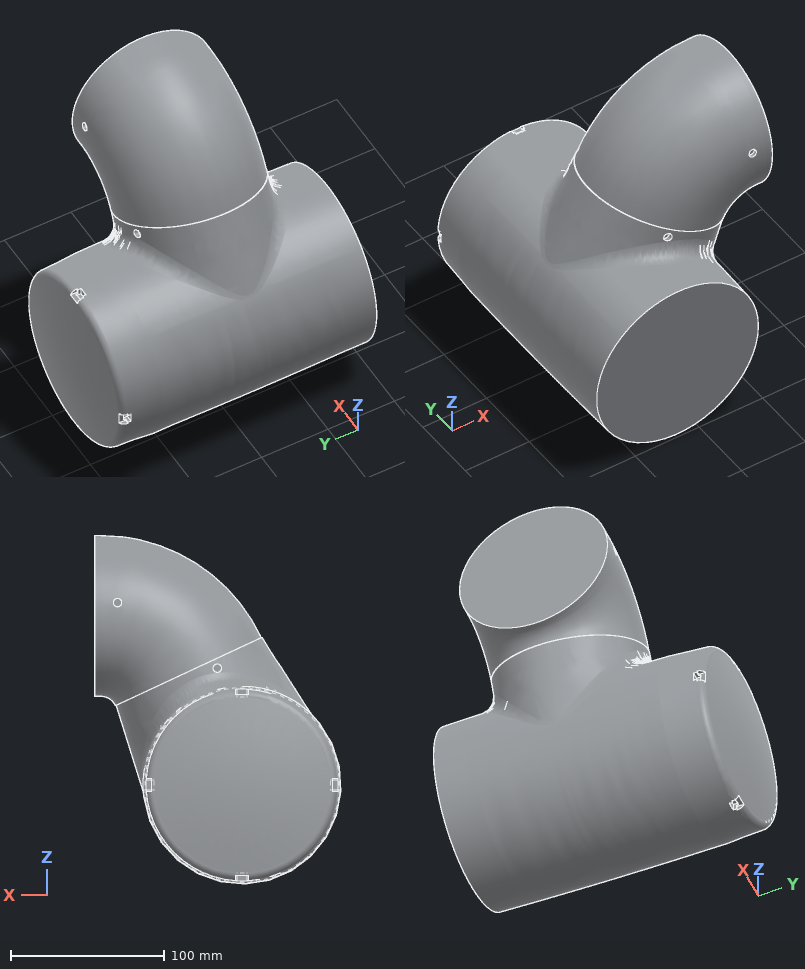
import cadquery as cq
import math

BODY_RADIUS = 64.6
FRONT_RADIUS = 63.5
JOINT_RADIUS = 64.2
CAP_RADIUS = 62.5
FRONT_LENGTH = 85.0
JOINT_Y = 75.5
RIM_Y = 106.7
DOME_Y = 112.0
RIM_ROUND = 5.2
SEAM_ANGLE = 120

NOTCH_COUNT = 4
NOTCH_WIDTH = 8.6
NOTCH_LENGTH = 5.2
NOTCH_DEPTH = 3.5
POCKET_WIDTH = 6.4
POCKET_START = 3.9
POCKET_LENGTH = 3.6
POCKET_DEPTH = 5.0

PIPE_RADIUS = 52.5
BEND_RADIUS = 63.0
BEND_ANGLE = 65
MOUTH_X = 96.3
MOUTH_Z = 227.5 - BODY_RADIUS - PIPE_RADIUS
COLLAR_LENGTH = 4.0

ROOT_HALF_WIDTH = 63.5
BLEND_RADIUS = 11.4

SCREW_DIAMETER = 5.5
SCREW_DEPTH = 2.3
SCREW_HOLES = [(81.2, 119.0, 51.9), (16.2, 76.2, 49.4)]

bend_rad = math.radians(BEND_ANGLE)
bend_x = MOUTH_X - COLLAR_LENGTH
bend_z = MOUTH_Z - BEND_RADIUS
elbow_start = (
    bend_x - BEND_RADIUS * math.sin(bend_rad),
    bend_z + BEND_RADIUS * math.cos(bend_rad),
)
elbow_direction = (math.cos(bend_rad), 0, math.sin(bend_rad))
across_elbow = (math.sin(bend_rad), 0, -math.cos(bend_rad))


def make_body():
    """Revolve the tapered barrel with its rounded, domed cap about Y."""
    rim_inner = CAP_RADIUS - RIM_ROUND
    mid_offset = RIM_ROUND * math.sqrt(0.5)
    dome_rise = DOME_Y - RIM_Y
    dome_radius = (rim_inner**2 + dome_rise**2) / (2 * dome_rise)
    dome_mid_r = rim_inner / 2
    dome_mid_y = DOME_Y - dome_radius + math.sqrt(dome_radius**2 - dome_mid_r**2)
    return (
        cq.Workplane("XY")
        .moveTo(0, -FRONT_LENGTH)
        .lineTo(FRONT_RADIUS, -FRONT_LENGTH)
        .threePointArc((BODY_RADIUS, 0), (JOINT_RADIUS, JOINT_Y))
        .lineTo(CAP_RADIUS, RIM_Y - RIM_ROUND)
        .threePointArc(
            (rim_inner + mid_offset, RIM_Y - RIM_ROUND + mid_offset),
            (rim_inner, RIM_Y),
        )
        .threePointArc((dome_mid_r, dome_mid_y), (0, DOME_Y))
        .close()
        .revolve(360, (0, 0, 0), (0, 1, 0))
        .rotate((0, 0, 0), (0, 1, 0), SEAM_ANGLE)
    )


def make_elbow():
    """Sweep the pipe along the bend and the short straight collar."""
    half_bend = bend_rad / 2
    bend_middle = (
        bend_x - BEND_RADIUS * math.sin(half_bend),
        bend_z + BEND_RADIUS * math.cos(half_bend),
    )
    path = (
        cq.Workplane("XZ")
        .moveTo(*elbow_start)
        .threePointArc(bend_middle, (bend_x, MOUTH_Z))
        .lineTo(MOUTH_X, MOUTH_Z)
    )
    start_plane = cq.Plane((elbow_start[0], 0, elbow_start[1]), across_elbow, elbow_direction)
    return cq.Workplane(start_plane).circle(PIPE_RADIUS).sweep(path)


def make_transition():
    """Loft from an oval on the body axis, nearly as wide as the body, to the pipe."""
    root_plane = cq.Plane((0, 0, 0), across_elbow, elbow_direction)
    length = math.hypot(*elbow_start)
    return (
        cq.Workplane(root_plane)
        .ellipse(ROOT_HALF_WIDTH, PIPE_RADIUS)
        .workplane(offset=length)
        .circle(PIPE_RADIUS)
        .loft(ruled=True)
    )


def make_notches():
    """Stepped notches cut into the rounded rim at equal angles."""
    notches = cq.Workplane("XY")
    for width, start, length, depth in (
        (NOTCH_WIDTH, 0, NOTCH_LENGTH, NOTCH_DEPTH),
        (POCKET_WIDTH, POCKET_START, POCKET_LENGTH, POCKET_DEPTH),
    ):
        for index in range(NOTCH_COUNT):
            notch = (
                cq.Workplane("XY")
                .box(width, length, 2 * depth)
                .translate((0, RIM_Y - start - length / 2, CAP_RADIUS))
                .rotate((0, 0, 0), (0, 1, 0), index * 360 / NOTCH_COUNT)
            )
            notches = notches.add(notch)
    return notches.combine()


def make_screw_holes():
    """Blind holes running along Y into both sides of the elbow."""
    holes = cq.Workplane("XZ")
    for x, z, surface_y in SCREW_HOLES:
        for side in (1, -1):
            start = cq.Vector(x, side * (surface_y - SCREW_DEPTH), z)
            hole = cq.Solid.makeCylinder(
                SCREW_DIAMETER / 2, PIPE_RADIUS, start, cq.Vector(0, side, 0)
            )
            holes = holes.add(hole)
    return holes.combine()


def is_body_crossing(edge):
    """True for the closed curve where the transition meets the body."""
    middle = edge.Center()
    along_elbow = middle.dot(cq.Vector(*elbow_direction))
    spans_pipe = edge.BoundingBox().ylen > PIPE_RADIUS
    return spans_pipe and along_elbow < BODY_RADIUS


trunk = make_body().union(make_transition())
crossing = trunk.edges("%BSPLINE").filter(is_body_crossing)
trunk = crossing.fillet(BLEND_RADIUS)
result = trunk.union(make_elbow()).cut(make_notches()).cut(make_screw_holes())